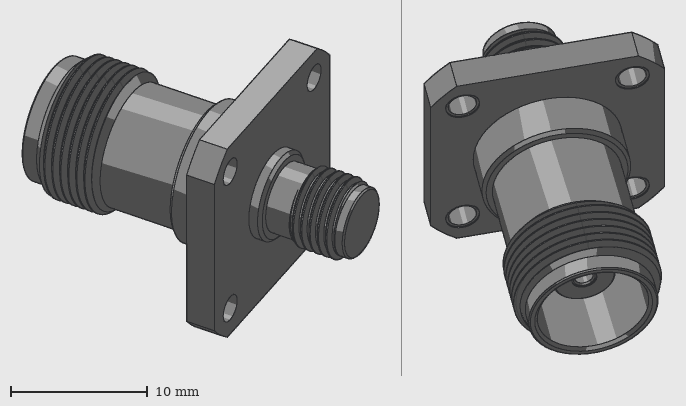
import cadquery as cq
import math

length = 25.8
lip_end = 1.26
large_thread_end = 6.58
collar_start = 12.7
flange_start = 15.97
flange_thickness = 2.32
flange_end = flange_start + flange_thickness
shoulder_end = 19.27
small_thread_start = 21.23
small_thread_end = 25.05

large_barrel_radius = 4.85
large_thread_radius = 5.57
collar_radius = large_thread_radius
shoulder_radius = 3.53
small_barrel_radius = 2.75
small_thread_radius = 3.15

flange_width = 17.52
flange_corner_radius = 11.1
hole_spacing = 12.72
hole_radius = 1.05
counterbore_radius = 1.26
counterbore_depth = 0.1

bore_radius = 4.18
bore_chamfer = 0.23
bore_depth = 8.35
insulator_radius = 2.32
insulator_chamfer = 0.1
insulator_face = 3.2
contact_radius = 0.93
contact_recess = 0.08
contact_hole_radius = 0.7
contact_hole_chamfer = 0.13
contact_hole_depth = 2.06

step_chamfer = 0.25
large_lip_chamfer = 0.1
small_lip_chamfer = 0.13

large_pitch = 0.67
large_crest_at = 2.15
small_pitch = 0.7
small_crest_at = 22.3
crest_width = 0.1
flank_angle = math.radians(30)
groove_overrun = 0.05


def disc(radius, start, end):
    """Solid cylinder on the X axis between two stations."""
    return cq.Workplane("YZ").workplane(offset=start).circle(radius).extrude(end - start)


def groove_turn(radius, pitch):
    """One right-handed turn of V groove along X, starting at X = 0 on the +Z side."""
    half_mouth = (pitch - crest_width) / 2
    groove_depth = half_mouth / math.tan(flank_angle)
    overrun_half_width = half_mouth + groove_overrun * math.tan(flank_angle)
    section = cq.Workplane("XZ").polyline([
        (radius + groove_overrun, -overrun_half_width),
        (radius + groove_overrun, overrun_half_width),
        (radius - groove_depth, 0),
    ]).close()
    helix = cq.Wire.makeHelix(pitch, pitch, radius)
    turn = section.sweep(cq.Workplane(obj=helix), isFrenet=True)
    return turn.rotate((0, 0, 0), (0, 1, 0), 90).rotate((0, 0, 0), (1, 0, 0), 180)


def thread(radius, core_radius, pitch, start, end, crest_at):
    """Threaded cylinder tapered at both ends, with a crest crossing +Z at station crest_at."""
    threaded = disc(radius, start, end).edges().chamfer(radius - core_radius)
    turn = groove_turn(radius, pitch)
    turns_before = math.ceil((crest_at - start) / pitch) + 1
    turns_after = math.ceil((end - crest_at) / pitch)
    for number in range(-turns_before, turns_after + 1):
        threaded = threaded.cut(turn.translate((crest_at + (number - 0.5) * pitch, 0, 0)))
    return threaded


def flange():
    """Square plate, corners rounded about the axis, four holes counterbored on the -X side."""
    square = cq.Workplane("YZ").workplane(offset=flange_start).rect(flange_width, flange_width)
    plate = square.extrude(flange_thickness)
    plate = plate.intersect(disc(flange_corner_radius, flange_start, flange_end))
    plate = plate.faces("<X").workplane().rect(hole_spacing, hole_spacing, forConstruction=True)
    return plate.vertices().cboreHole(2 * hole_radius, 2 * counterbore_radius, counterbore_depth)


def outer_body():
    """Plain barrels, collar, flange and shoulder."""
    large_barrel = disc(large_barrel_radius, 0, flange_start).faces("<X").chamfer(large_lip_chamfer)
    collar = disc(collar_radius, collar_start, flange_start).faces("<X").chamfer(step_chamfer)
    shoulder = disc(shoulder_radius, flange_end, shoulder_end).faces(">X").chamfer(step_chamfer)
    small_barrel = disc(small_barrel_radius, flange_end, length).faces(">X").chamfer(small_lip_chamfer)
    return large_barrel.union(collar).union(flange()).union(shoulder).union(small_barrel)


def cut_socket(body):
    """Bore the large end with a chamfered mouth."""
    bored = body.cut(disc(bore_radius, 0, bore_depth))
    mouth = bored.faces("<X").edges(cq.selectors.RadiusNthSelector(0))
    return mouth.chamfer(bore_chamfer)


def insulator():
    """Post on the bore floor with a recessed centre contact and its chamfered hole."""
    contact_face = insulator_face + contact_recess
    post = disc(insulator_radius, insulator_face, bore_depth).faces("<X").chamfer(insulator_chamfer)
    post = post.cut(disc(contact_radius, insulator_face, contact_face))
    post = post.cut(disc(contact_hole_radius, contact_face, contact_face + contact_hole_depth))
    rim = post.edges(cq.selectors.RadiusNthSelector(0)).edges("<X")
    return rim.chamfer(contact_hole_chamfer)


large_thread = thread(
    large_thread_radius, large_barrel_radius, large_pitch, lip_end, large_thread_end, large_crest_at
)
small_thread = thread(
    small_thread_radius, small_barrel_radius, small_pitch,
    small_thread_start, small_thread_end, small_crest_at,
)
threaded_body = outer_body().union(large_thread).union(small_thread)
result = cut_socket(threaded_body).union(insulator())